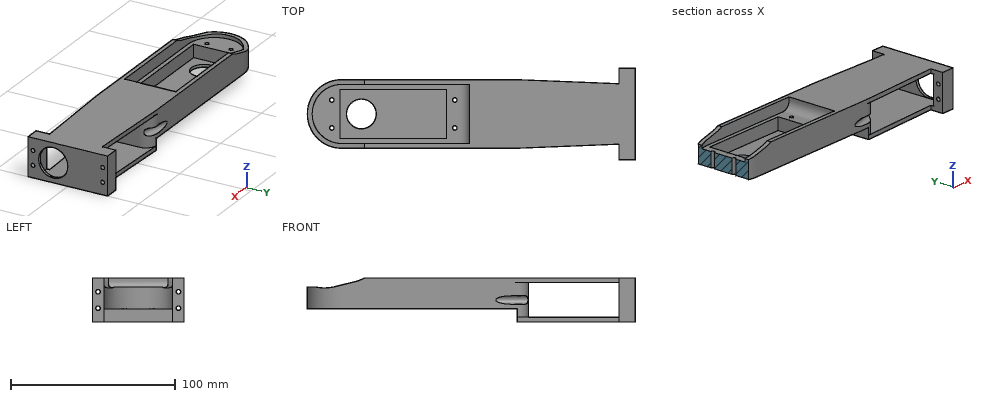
import cadquery as cq
import math

LENGTH = 200.0
HEIGHT = 27.0
ARM_WIDTH = 42.0
ARM_RADIUS = ARM_WIDTH / 2

ARM_BOTTOM = 8.0
FRAME_START = 128.0
TAPER_START = 127.4
TAPER_END_WIDTH = 37.0

PLATE_THICKNESS = 10.0
PLATE_START = LENGTH - PLATE_THICKNESS
PLATE_WIDTH = 56.0
PLATE_POCKET_WIDTH = 41.0
PLATE_POCKET_DEPTH = 8.0
PLATE_BORE_DIAMETER = 20.5
PLATE_BORE_Y = (PLATE_BORE_DIAMETER - PLATE_POCKET_WIDTH) / 2

SKIN = 3.0
WINDOW_START = 135.0
WINDOW_CORNER_RADIUS = 8.0
WINDOW_HEIGHT = HEIGHT - 2 * SKIN

RIM = 3.0
RECESS_FLOOR = 19.0
RECESS_END = 99.0
RAMP_RADIUS = 6.0
SERVO_START = 20.0
SERVO_LENGTH = 65.0
SERVO_WIDTH = ARM_WIDTH - 4 * RIM
SERVO_FLOOR_THICKNESS = 2.0
SERVO_FLOOR = ARM_BOTTOM + SERVO_FLOOR_THICKNESS
SHAFT_X = 33.0
SHAFT_DIAMETER = 18.0

SCREW_DIAMETER = 2.6
SERVO_SCREW_OFFSET = 5.0
SERVO_SCREW_SPACING = 17.0
PLATE_SCREW_SPACING_Y = 49.0
PLATE_SCREW_SPACING_Z = 10.0

NOSE_FLAT_END = 5.0
NOSE_HEIGHT = 21.5
NOSE_CUT_END = 35.0
NOSE_CURVE_POINTS = [(15.0, 21.3), (24.0, 23.5), (32.0, 25.6)]

GROOVE_DIAMETER = 5.3
GROOVE_TIP_X = 115.0
GROOVE_ANGLE = 15.0

MARGIN = 5.0


def arm_outline():
    """Plan of the arm: round nose, parallel sides, then a taper to the end plate."""
    half = ARM_RADIUS
    half_end = TAPER_END_WIDTH / 2
    return (
        cq.Workplane("XY")
        .moveTo(PLATE_START, -half_end)
        .lineTo(TAPER_START, -half)
        .lineTo(ARM_RADIUS, -half)
        .threePointArc((0, 0), (ARM_RADIUS, half))
        .lineTo(TAPER_START, half)
        .lineTo(PLATE_START, half_end)
        .close()
    )


def body():
    """Solid arm with its front raised, joined to the end plate."""
    arm = arm_outline().extrude(HEIGHT)
    under_arm = cq.Workplane("XY").box(
        FRAME_START, PLATE_WIDTH, ARM_BOTTOM, centered=(False, True, False)
    )
    plate = (
        cq.Workplane("XY")
        .box(PLATE_THICKNESS, PLATE_WIDTH, HEIGHT, centered=(False, True, False))
        .translate((PLATE_START, 0, 0))
    )
    return arm.cut(under_arm).union(plate)


def window():
    """Side-to-side opening whose front wall has rounded outer corners."""
    front = WINDOW_START - WINDOW_CORNER_RADIUS
    opening = (
        cq.Workplane("XY")
        .box(PLATE_START - front, PLATE_WIDTH, WINDOW_HEIGHT, centered=(False, True, False))
        .translate((front, 0, SKIN))
    )
    front_wall = (
        cq.Workplane("XY")
        .box(WINDOW_START, ARM_WIDTH, HEIGHT, centered=(False, True, False))
        .edges("|Z and >X")
        .fillet(WINDOW_CORNER_RADIUS)
    )
    return opening.cut(front_wall)


def plate_pocket():
    """Continuation of the window into the end plate, leaving a thin wall behind it."""
    return (
        cq.Workplane("XY")
        .box(PLATE_POCKET_DEPTH, PLATE_POCKET_WIDTH, WINDOW_HEIGHT, centered=(False, True, False))
        .translate((PLATE_START, 0, SKIN))
    )


def nose_cut():
    """Cutter above a short flat and a hollow curve that climbs to the top face."""
    top = HEIGHT + MARGIN
    return (
        cq.Workplane("XZ")
        .moveTo(-MARGIN, NOSE_HEIGHT)
        .lineTo(NOSE_FLAT_END, NOSE_HEIGHT)
        .spline(NOSE_CURVE_POINTS + [(NOSE_CUT_END, HEIGHT)], includeCurrent=True)
        .lineTo(NOSE_CUT_END, top)
        .lineTo(-MARGIN, top)
        .close()
        .extrude(ARM_WIDTH, both=True)
    )


def servo_recess():
    """Upper pocket that follows the nose, its far end curving up from the floor."""
    half = ARM_RADIUS - RIM
    upper = (
        cq.Workplane("XY")
        .workplane(offset=RECESS_FLOOR)
        .moveTo(RECESS_END, -half)
        .lineTo(ARM_RADIUS, -half)
        .threePointArc((RIM, 0), (ARM_RADIUS, half))
        .lineTo(RECESS_END, half)
        .close()
        .extrude(HEIGHT + MARGIN - RECESS_FLOOR)
        .faces(">X")
        .edges("<Z")
        .fillet(RAMP_RADIUS)
    )
    lower = (
        cq.Workplane("XY")
        .box(SERVO_LENGTH, SERVO_WIDTH, HEIGHT - SERVO_FLOOR, centered=(False, True, False))
        .translate((SERVO_START, 0, SERVO_FLOOR))
    )
    return upper.union(lower)


def servo_holes():
    """Shaft hole and the four screw holes around the servo pocket, all vertical."""
    shaft = cq.Workplane("XY").center(SHAFT_X, 0).circle(SHAFT_DIAMETER / 2).extrude(HEIGHT)
    screws = (
        cq.Workplane("XY")
        .center(SERVO_START + SERVO_LENGTH / 2, 0)
        .rarray(SERVO_LENGTH + 2 * SERVO_SCREW_OFFSET, SERVO_SCREW_SPACING, 2, 2)
        .circle(SCREW_DIAMETER / 2)
        .extrude(HEIGHT)
    )
    return shaft.union(screws)


def plate_holes():
    """Bore tangent to the -Y wall of the plate pocket and four screw holes, all along X."""
    plane = cq.Workplane("YZ", origin=(PLATE_START, 0, HEIGHT / 2))
    bore = plane.center(PLATE_BORE_Y, 0).circle(PLATE_BORE_DIAMETER / 2).extrude(PLATE_THICKNESS)
    screws = (
        plane.rarray(PLATE_SCREW_SPACING_Y, PLATE_SCREW_SPACING_Z, 2, 2)
        .circle(SCREW_DIAMETER / 2)
        .extrude(PLATE_THICKNESS)
    )
    return bore.union(screws)


def cable_groove():
    """Round cutter that enters the -Y side at a shallow angle and runs out into the window."""
    angle = math.radians(GROOVE_ANGLE)
    direction = cq.Vector(math.cos(angle), math.sin(angle), 0)
    radius = GROOVE_DIAMETER / 2
    axis_entry = cq.Vector(GROOVE_TIP_X + radius / math.sin(angle), -ARM_RADIUS, HEIGHT / 2)
    reach = axis_entry.x - GROOVE_TIP_X + MARGIN
    start = axis_entry - direction * reach
    length = (WINDOW_START + MARGIN - start.x) / direction.x
    return cq.Workplane(obj=cq.Solid.makeCylinder(radius, length, start, direction))


groove = cable_groove()
result = (
    body()
    .cut(window())
    .cut(plate_pocket())
    .cut(nose_cut())
    .cut(servo_recess())
    .cut(servo_holes())
    .cut(plate_holes())
    .cut(groove)
    .cut(groove.mirror("XZ"))
)